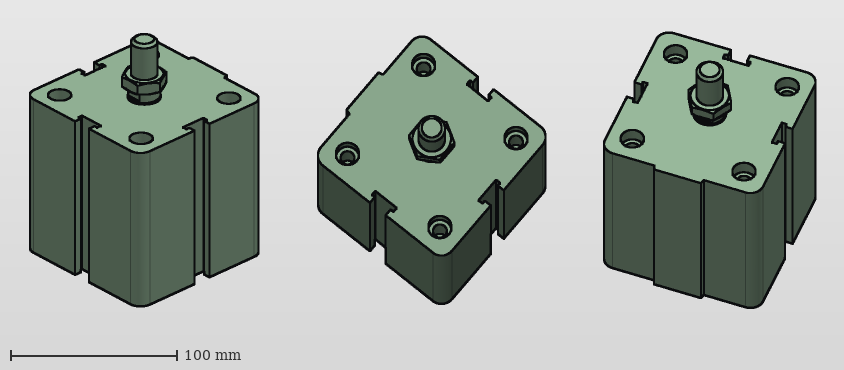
import cadquery as cq
import math

width = 102.0
total_height = 146.0
housing_height = 106.1
corner_radius = 8.2
half_width = width / 2

rail_height = 2.9
rail_base_width = 31.8
rail_top_width = 30.4

slot_opening = 12.3
slot_inner_width = 16.6
slot_depth = 7.7
slot_lip = 4.7

hole_spacing = 72.0
counterbore_diameter = 14.0
counterbore_depth = 8.8
screw_hole_diameter = 8.3
screw_hole_depth = 29.2

bearing_diameter = 20.0
bearing_insertion = 16.5
bearing_rise = 0.6
bearing_taper_end = 1.0
shank_diameter = 19.5
flat_distance = 17.0
flat_bottom = 1.9
thread_diameter = 16.0
thread_chamfer = 2.0
rod_rise = total_height - housing_height

nut_bottom = 7.9
nut_height = 8.0
nut_across_flats = 24.0
nut_corner_diameter = nut_across_flats / math.cos(math.pi / 6)
nut_face_diameter = 23.0
nut_corner_drop = 1.0


def t_slot():
    """Cutter for the T-slot in the -Y face."""
    from_face = (True, False, False)
    opening = cq.Workplane("XY").box(slot_opening, slot_depth, housing_height, centered=from_face)
    pocket_depth = slot_depth - slot_lip
    pocket = cq.Workplane("XY").box(slot_inner_width, pocket_depth, housing_height, centered=from_face)
    pocket = pocket.translate((0, slot_lip, 0))
    return opening.union(pocket).translate((0, -half_width, 0))


def rail():
    """Rail with slightly inclined sides on the +Y face."""
    outer_face = half_width + rail_height
    outline = [
        (-rail_base_width / 2, half_width),
        (rail_base_width / 2, half_width),
        (rail_top_width / 2, outer_face),
        (-rail_top_width / 2, outer_face),
    ]
    return cq.Workplane("XY").polyline(outline).close().extrude(housing_height)


def make_housing():
    block = cq.Workplane("XY").rect(width, width).extrude(housing_height)
    block = block.edges("|Z").fillet(corner_radius)
    block = block.union(rail())
    for angle in (-90, 0, 90):
        block = block.cut(t_slot().rotate((0, 0, 0), (0, 0, 1), angle))

    top = cq.Workplane("XY", origin=(0, 0, housing_height))
    mounting_points = top.rect(hole_spacing, hole_spacing, forConstruction=True).vertices()
    counterbores = mounting_points.circle(counterbore_diameter / 2).extrude(-counterbore_depth)
    screw_holes = mounting_points.circle(screw_hole_diameter / 2).extrude(-screw_hole_depth)
    rod_bore = top.circle(bearing_diameter / 2).extrude(-bearing_insertion)
    return block.cut(counterbores).cut(screw_holes).cut(rod_bore)


def revolve_profile(points):
    """Solid of revolution about Z from (radius, height) points."""
    return cq.Workplane("XZ").polyline(points).close().revolve(360, (0, 0, 0), (0, 1, 0))


def make_rod():
    bearing_radius = bearing_diameter / 2
    shank_radius = shank_diameter / 2
    thread_radius = thread_diameter / 2
    rod = revolve_profile([
        (0, -bearing_insertion),
        (bearing_radius, -bearing_insertion),
        (bearing_radius, bearing_rise),
        (shank_radius, bearing_taper_end),
        (shank_radius, nut_bottom),
        (thread_radius, nut_bottom),
        (thread_radius, rod_rise - thread_chamfer),
        (thread_radius - thread_chamfer, rod_rise),
        (0, rod_rise),
    ])
    for side in (-1, 1):
        flat_center = side * (flat_distance + bearing_diameter) / 2
        flat_cut = (
            cq.Workplane("XY", origin=(0, flat_center, flat_bottom))
            .rect(bearing_diameter, bearing_diameter)
            .extrude(nut_bottom - flat_bottom)
        )
        rod = rod.cut(flat_cut)
    return rod.translate((0, 0, housing_height))


def make_nut():
    hexagon = cq.Workplane("XY").polygon(6, nut_corner_diameter).extrude(nut_height)
    corner_reach = nut_corner_diameter / 2
    chamfer_envelope = revolve_profile([
        (0, 0),
        (nut_face_diameter / 2, 0),
        (corner_reach, nut_corner_drop),
        (corner_reach, nut_height - nut_corner_drop),
        (nut_face_diameter / 2, nut_height),
        (0, nut_height),
    ])
    thread_hole = cq.Workplane("XY").circle(thread_diameter / 2).extrude(nut_height)
    nut = hexagon.intersect(chamfer_envelope).cut(thread_hole)
    return nut.translate((0, 0, housing_height + nut_bottom))


housing = make_housing()
rod = make_rod()
nut = make_nut()
result = cq.Compound.makeCompound([housing.val(), rod.val(), nut.val()])